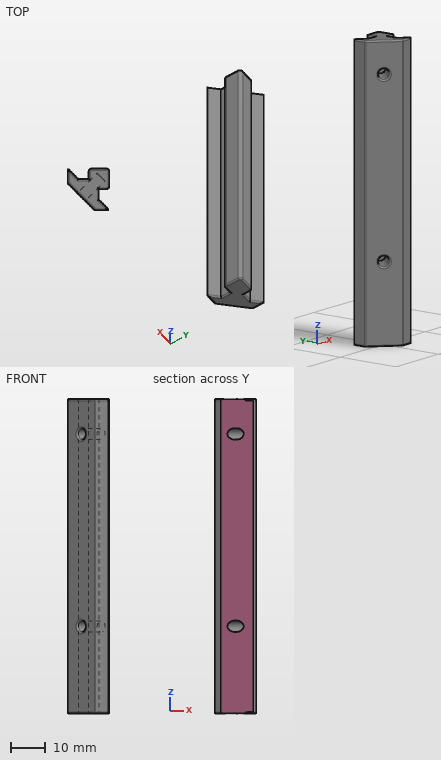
import cadquery as cq
import math

size = 12.0
length = 90.0

wing_thickness = 3.0
wing_tip_angle = 45.0
wing_recess = 3.0
head_side = 6.0

head_radius = 1.0
slant_radius = 0.5
tip_radius = 0.2
end_radius = 0.5
mouth_radius = 0.5

hole_diameter = 3.2
hole_depth = 8.0
hole_heights = (25.0, 80.0)

slant_start = size - wing_thickness * math.sqrt(2)
head_start = size - head_side
neck_side = size - wing_recess
hole_center = slant_start / 2


def profile_bar():
    """Sharp-edged bar: two wings behind a 45 degree face, a neck and a square head."""
    outline = [
        (0, size),
        (0, slant_start),
        (slant_start, 0),
        (size, 0),
        (neck_side, wing_recess),
        (neck_side, head_start),
        (size, head_start),
        (size, size),
        (head_start, size),
        (head_start, neck_side),
        (wing_recess, neck_side),
    ]
    return cq.Workplane("XY").polyline(outline).close().extrude(length)


def round_uprights(bar, corners, radius):
    """Fillet the edges along Z that stand on the given (x, y) corners."""
    tolerance = 1e-3
    chosen = [
        edge
        for edge in bar.edges("|Z").vals()
        if any(math.hypot(edge.Center().x - x, edge.Center().y - y) < tolerance for x, y in corners)
    ]
    return bar.newObject(chosen).fillet(radius)


def tip_waste():
    """Prism outside the tip radius of the wing tip at (0, size)."""
    half_angle = math.radians(wing_tip_angle / 2)
    tangent_length = tip_radius / math.tan(half_angle)
    center_y = size - tangent_length
    slant_run = tangent_length * math.sqrt(0.5)
    slant_tangent = (slant_run, size - slant_run)
    arc_middle = (
        tip_radius * (1 - math.sin(half_angle)),
        center_y + tip_radius * math.cos(half_angle),
    )
    return (
        cq.Workplane("XY")
        .moveTo(0, center_y)
        .threePointArc(arc_middle, slant_tangent)
        .lineTo(slant_tangent[0], size)
        .lineTo(0, size)
        .close()
        .extrude(length)
    )


def round_tips(bar):
    """Round both wing tips; a half turn about the diagonal x = y carries one onto the other."""
    waste = tip_waste()
    opposite_waste = waste.rotate((0, 0, length / 2), (1, 1, length / 2), 180)
    return bar.cut(waste).cut(opposite_waste)


def drill_hole(bar, height):
    """Blind hole along the section's diagonal, with a rounded mouth."""
    mouth = cq.Plane(
        origin=(hole_center, hole_center, height),
        xDir=(0, 0, 1),
        normal=(1, 1, 0),
    )
    bore = cq.Workplane(mouth).circle(hole_diameter / 2).extrude(hole_depth)
    drilled = bar.cut(bore)
    nearest_mouth = cq.selectors.NearestToPointSelector(mouth.origin.toTuple())
    return drilled.edges("%CIRCLE").edges(nearest_mouth).fillet(mouth_radius)


head_corners = [(size, head_start), (size, size), (head_start, size)]
slant_corners = [(0, slant_start), (slant_start, 0)]

result = profile_bar()
result = round_uprights(result, head_corners, head_radius)
result = round_uprights(result, slant_corners, slant_radius)
result = result.faces("<Z or >Z").edges().fillet(end_radius)
result = round_tips(result)
for hole_height in hole_heights:
    result = drill_hole(result, hole_height)